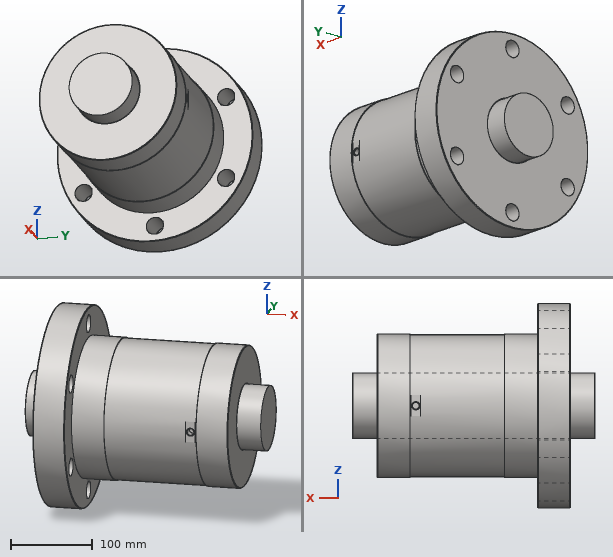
import cadquery as cq

rod_length = 296.0
flange_start = 30.0 - rod_length / 2
flange_thickness = 40.0
flange_end = flange_start + flange_thickness
front_collar_length = 40.5
barrel_start = flange_end + front_collar_length
rear_collar_length = 40.0
housing_end = -flange_start
barrel_end = housing_end - rear_collar_length

rod_diameter = 80.5
flange_diameter = 250.0
collar_diameter = 175.8
barrel_diameter = 174.0

edge_chamfer = 1.0
bore_chamfer = 1.0

bolt_count = 6
bolt_hole_diameter = 22.0
bolt_circle_diameter = 210.2

flat_width = 11.8
flat_depth = 0.95
flat_gap_to_collar = 1.5
port_x = barrel_end - flat_gap_to_collar - flat_width / 2
flat_distance = barrel_diameter / 2 - flat_depth
port_diameter = 8.3
port_mouth_diameter = 10.0
port_depth = 11.8


def cylinder(start, end, diameter):
    """Solid cylinder along X from start to end."""
    return cq.Workplane("YZ", origin=(start, 0, 0)).circle(diameter / 2).extrude(end - start)


def make_rod():
    return cylinder(-rod_length / 2, rod_length / 2, rod_diameter)


def make_housing_blank():
    flange = cylinder(flange_start, flange_end, flange_diameter).edges().chamfer(edge_chamfer)
    front_collar = cylinder(flange_end, barrel_start, collar_diameter)
    barrel = cylinder(barrel_start, barrel_end, barrel_diameter)
    rear_collar = cylinder(barrel_end, housing_end, collar_diameter).faces(">X").edges().chamfer(edge_chamfer)
    return flange.union(front_collar).union(barrel).union(rear_collar)


def cut_bore(housing):
    """Bore that fits the rod, chamfered at both mouths."""
    mouth_radius = rod_diameter / 2 + bore_chamfer
    bore = (
        cq.Workplane("XY")
        .moveTo(flange_start, 0)
        .lineTo(flange_start, mouth_radius)
        .lineTo(flange_start + bore_chamfer, rod_diameter / 2)
        .lineTo(housing_end - bore_chamfer, rod_diameter / 2)
        .lineTo(housing_end, mouth_radius)
        .lineTo(housing_end, 0)
        .close()
        .revolve(360, (0, 0, 0), (1, 0, 0))
    )
    return housing.cut(bore)


def cut_bolt_holes(housing):
    holes = (
        cq.Workplane("YZ", origin=(flange_start, 0, 0))
        .polarArray(bolt_circle_diameter / 2, 90, 360, bolt_count)
        .circle(bolt_hole_diameter / 2)
        .extrude(flange_thickness)
    )
    return housing.cut(holes)


def make_port_cutter():
    """Flat and countersunk blind hole on the -Y side of the barrel."""
    flat = cq.Workplane("XY").box(flat_width, barrel_diameter, barrel_diameter)
    flat = flat.translate((port_x, -flat_distance - barrel_diameter / 2, 0))
    mouth_depth = (port_mouth_diameter - port_diameter) / 2
    hole = (
        cq.Workplane("XY", origin=(port_x, -flat_distance, 0))
        .lineTo(port_mouth_diameter / 2, 0)
        .lineTo(port_diameter / 2, mouth_depth)
        .lineTo(port_diameter / 2, port_depth)
        .lineTo(0, port_depth)
        .close()
        .revolve(360, (0, 0, 0), (0, 1, 0))
    )
    return flat.union(hole)


def cut_ports(housing):
    cutter = make_port_cutter()
    for angle in (0, 180):
        housing = housing.cut(cutter.rotate((0, 0, 0), (1, 0, 0), angle))
    return housing


rod = make_rod()
housing = cut_ports(cut_bolt_holes(cut_bore(make_housing_blank())))

result = cq.Compound.makeCompound([rod.val(), housing.val()])